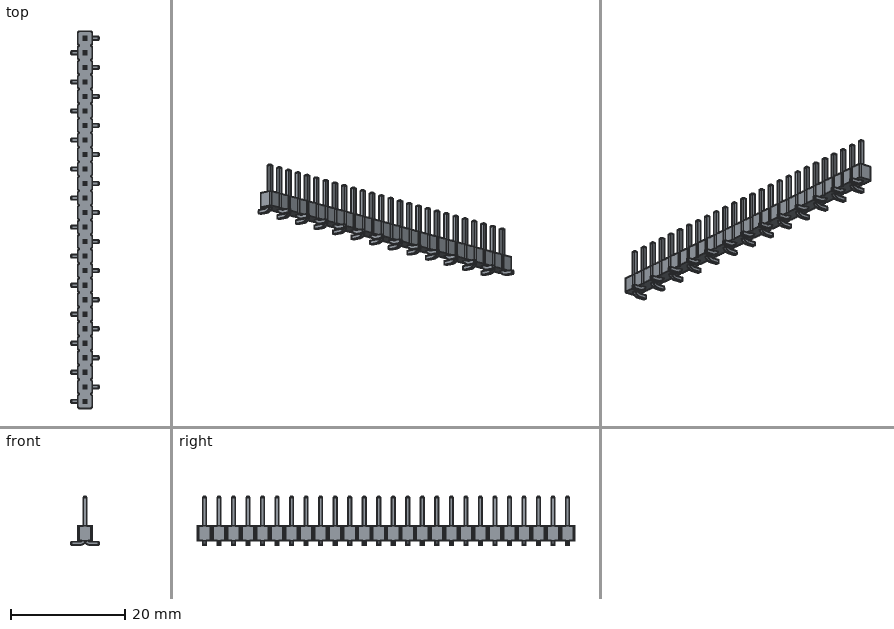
import cadquery as cq

pin_count = 26
row_length = 66.05
pitch = row_length / pin_count
housing_height = 2.6
housing_bottom = 0.8
corner_cut = 0.25

wire = 0.64
tip_chamfer = 0.2
overall_height = 8.5
overall_width = 5.0
bend_inner_radius = 0.65
bend_outer_radius = bend_inner_radius + wire


def make_segment(y_center):
    """One housing segment: a block with its four vertical corners cut off."""
    half = pitch / 2
    outline = [
        (half, half - corner_cut),
        (half - corner_cut, half),
        (corner_cut - half, half),
        (-half, half - corner_cut),
        (-half, corner_cut - half),
        (corner_cut - half, -half),
        (half - corner_cut, -half),
        (half, corner_cut - half),
    ]
    return (
        cq.Workplane("XY", origin=(0, y_center, housing_bottom))
        .polyline(outline)
        .close()
        .extrude(housing_height)
    )


def make_pin():
    """L-shaped pin with its foot toward -X, a rounded bend and tapered ends."""
    half_wire = wire / 2
    foot_end = -overall_width / 2
    profile = (
        cq.Workplane("XZ")
        .moveTo(foot_end, 0)
        .lineTo(half_wire - bend_outer_radius, 0)
        .radiusArc((half_wire, bend_outer_radius), -bend_outer_radius)
        .lineTo(half_wire, overall_height)
        .lineTo(-half_wire, overall_height)
        .lineTo(-half_wire, bend_outer_radius)
        .radiusArc((half_wire - bend_outer_radius, wire), bend_inner_radius)
        .lineTo(foot_end, wire)
        .close()
    )
    pin = profile.extrude(half_wire, both=True)
    return pin.faces(">Z or <X").chamfer(tip_chamfer)


left_pin = make_pin()
right_pin = left_pin.rotate((0, 0, 0), (0, 0, 1), 180)

bodies = []
for index in range(pin_count):
    y_center = (index + 0.5) * pitch - row_length / 2
    pin = left_pin if index % 2 == 0 else right_pin
    bodies.append(make_segment(y_center).val())
    bodies.append(pin.translate((0, y_center, 0)).val())

result = cq.Workplane(bodies[0].fuse(*bodies[1:]).clean())